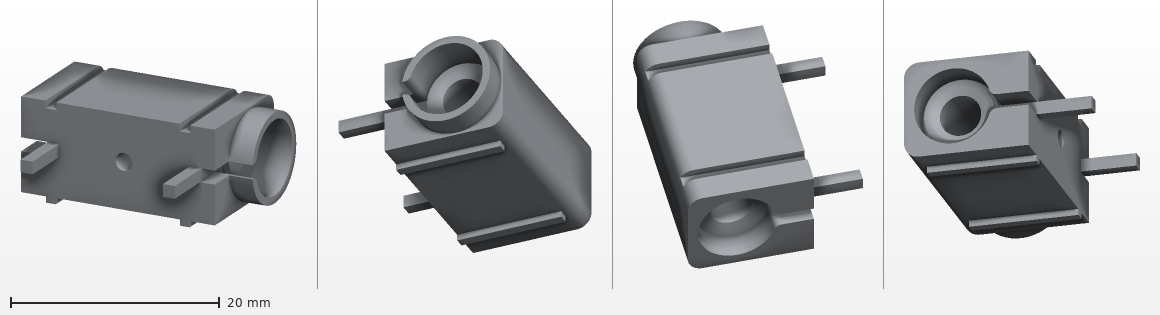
import cadquery as cq
import math


total_length = 23.37
total_depth = 17.9

block_length = 20.85
block_height = 9.72
block_depth = 12.4
back_corner_radius = 1.5
back_y = block_height / 2
front_y = back_y - block_depth
bottom_z = -block_height / 2
top_z = block_height / 2

boss_radius = 4.63

band_spacing = 14.4
band_centers = [(block_length - band_spacing) / 2, (block_length + band_spacing) / 2]
rib_width = 1.03
rib_height = 0.63
groove_width = 1.2
groove_depth = 0.77

contact_size = 1.29
contact_radius = 3.76
tail_tip_y = back_y - total_depth
near_contact_x = 2.78
far_contact_x = 18.07
contact_span_end = far_contact_x + contact_size
mid_x = (near_contact_x + contact_span_end) / 2

recess_radius = 3.85
slot_height = 1.43
slot_corner_radius = 0.75
corner_pick_margin = 0.12
near_recess_end = near_contact_x + contact_size
far_recess_start = 17.97

sleeve_hole_radius = 2.05
sleeve_radius = 3.0
flange_radius = 3.5
flange_overhang = 0.55
flange_back_taper = 0.16
mouth_depth = 0.45
sleeve_start = near_contact_x - flange_overhang
sleeve_end = contact_span_end + flange_overhang

drill_radius = 0.9
drill_depth = 1.8
drill_tip_depth = 0.54


def x_box(start_x, end_x, start_y, end_y, start_z, end_z):
    """Box given by its limits along each axis."""
    return cq.Workplane("XY").box(
        end_x - start_x, end_y - start_y, end_z - start_z, centered=False
    ).translate((start_x, start_y, start_z))


def x_cylinder(radius, start_x, end_x):
    """Cylinder on the sleeve axis."""
    return cq.Workplane("YZ", origin=(start_x, 0, 0)).circle(radius).extrude(end_x - start_x)


def make_recess(start_x, end_x):
    """Volume of an end recess: bore plus front slot, with the corners between them rounded."""
    bore = x_cylinder(recess_radius, start_x, end_x)
    slot = x_box(start_x, end_x, front_y, 0, -slot_height / 2, slot_height / 2)
    corner_y = -math.sqrt(recess_radius**2 - (slot_height / 2) ** 2)
    corner_edges = cq.selectors.BoxSelector(
        (start_x, corner_y - corner_pick_margin, -slot_height),
        (end_x, corner_y + corner_pick_margin, slot_height),
    )
    return bore.union(slot).edges("|X").edges(corner_edges).fillet(slot_corner_radius)


def make_drill_hole():
    """Blind hole with a conical tip, entering from the front face."""
    profile = [
        (0, 0),
        (drill_radius, 0),
        (drill_radius, drill_depth),
        (0, drill_depth + drill_tip_depth),
    ]
    hole = cq.Workplane("XY").polyline(profile).close().revolve(360, (0, 0, 0), (0, 1, 0))
    return hole.translate((mid_x, front_y, 0))


def make_housing():
    block = x_box(0, block_length, front_y, back_y, bottom_z, top_z)
    block = block.edges("|X and >Y").fillet(back_corner_radius)
    block = block.union(x_cylinder(boss_radius, block_length / 2, total_length))

    for center_x in band_centers:
        block = block.union(x_box(
            center_x - rib_width / 2, center_x + rib_width / 2,
            front_y, back_y - back_corner_radius,
            bottom_z - rib_height, bottom_z,
        ))
        block = block.cut(x_box(
            center_x - groove_width / 2, center_x + groove_width / 2,
            front_y, back_y,
            top_z - groove_depth, top_z,
        ))

    block = block.cut(make_recess(0, near_recess_end))
    block = block.cut(make_recess(far_recess_start, total_length))
    block = block.cut(x_cylinder(sleeve_radius, 0, total_length))
    return block.cut(make_drill_hole())


def make_contact(start_x):
    """Washer around the sleeve with a square tail reaching out through the slot."""
    end_x = start_x + contact_size
    half = contact_size / 2
    washer = x_cylinder(contact_radius, start_x, end_x)
    tail = x_box(start_x, end_x, tail_tip_y, -sleeve_radius, -half, half)
    return washer.union(tail).cut(x_cylinder(sleeve_radius, start_x, end_x))


def make_sleeve():
    """Tube with a conical mouth and a flange at each end, its back tapering down to the tube."""
    profile = [
        (sleeve_start, flange_radius),
        (near_contact_x - flange_back_taper, flange_radius),
        (near_contact_x, sleeve_radius),
        (contact_span_end, sleeve_radius),
        (contact_span_end + flange_back_taper, flange_radius),
        (sleeve_end, flange_radius),
        (sleeve_end - mouth_depth, sleeve_hole_radius),
        (sleeve_start + mouth_depth, sleeve_hole_radius),
    ]
    return cq.Workplane("XY").polyline(profile).close().revolve(360, (0, 0, 0), (1, 0, 0))


housing = make_housing()
sleeve = make_sleeve()
contacts = [make_contact(start_x) for start_x in (near_contact_x, far_contact_x)]

result = cq.Compound.makeCompound(
    [housing.val(), sleeve.val(), *[contact.val() for contact in contacts]]
)